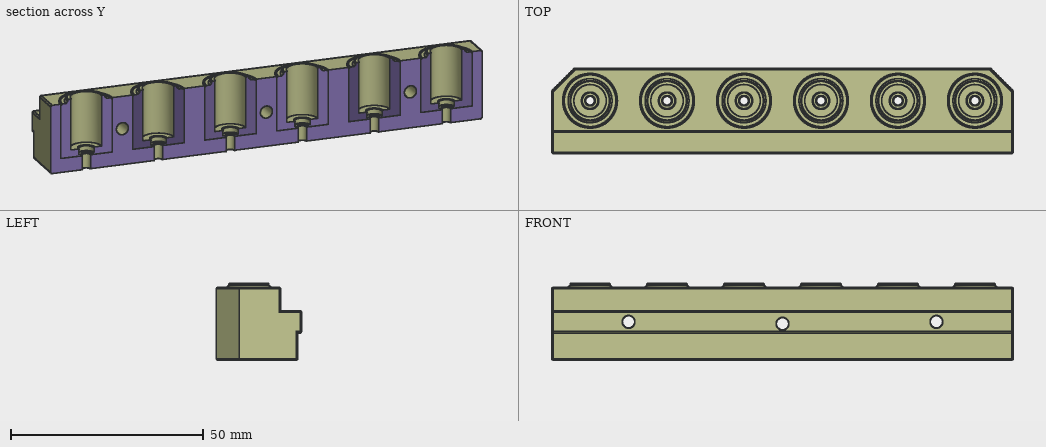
import cadquery as cq

length = 120.0
block_height = 19.0
block_depth = 21.25
lip_overhang = 1.0
shoulder_depth = 16.75
lip_bottom = 7.1
lip_top = 12.9
corner_cut = 6.0
edge_chamfer = 0.4

cross_hole_diameter = 3.2
cross_hole_spacing = 40.0
side_hole_height = 10.0
middle_hole_height = 9.5

cup_count = 6
cup_pitch = 20.0
cup_from_back = 8.5
cup_top = 20.0
cup_length = 16.0

body_diameter = 14.25
shoulder_base_diameter = 13.95
shoulder_bevel = 0.25

rim_diameter = 10.45
rim_flare = 0.5
rim_bevel = 0.2

bore_diameter = 8.45
floor_thickness = 2.0
seat_diameter = 4.1
seat_depth = 1.5
vent_diameter = 2.3
floor_hole_chamfer = 0.2

lip_depth = block_depth + lip_overhang
cup_bottom = cup_top - cup_length
cup_floor = cup_bottom + floor_thickness
first_cup_x = -cup_pitch * (cup_count - 1) / 2
cup_positions = [(first_cup_x + i * cup_pitch, -cup_from_back) for i in range(cup_count)]


def box_around(x_reach, y_range, z_range, margin=0.1):
    """Selector for edges centred in a box that is symmetric in X."""
    return cq.selectors.BoxSelector(
        (-x_reach, y_range[0] - margin, z_range[0] - margin),
        (x_reach, y_range[1] + margin, z_range[1] + margin),
    )


def make_block():
    """Stepped block with its back face on the XZ plane, extending toward -Y."""
    profile = [
        (0, 0),
        (-block_depth, 0),
        (-block_depth, lip_bottom),
        (-lip_depth, lip_bottom),
        (-lip_depth, lip_top),
        (-shoulder_depth, lip_top),
        (-shoulder_depth, block_height),
        (0, block_height),
    ]
    block = cq.Workplane("YZ").polyline(profile).close().extrude(length / 2, both=True)
    block = block.edges("|Z and >Y").chamfer(corner_cut)

    corner_below_lip = box_around(1, (-block_depth, -block_depth), (lip_bottom, lip_bottom))
    corner_above_lip = box_around(1, (-shoulder_depth, -shoulder_depth), (lip_top, lip_top))
    mid_height = block_height / 2
    cut_uprights = box_around(length, (-corner_cut, 0), (mid_height, mid_height))

    all_edges = box_around(length, (-lip_depth, 0), (0, block_height))
    return block.edges(all_edges - corner_below_lip - corner_above_lip - cut_uprights).chamfer(edge_chamfer)


def drill_cross_holes(block):
    hole_places = [
        (-cross_hole_spacing, side_hole_height),
        (0, middle_hole_height),
        (cross_hole_spacing, side_hole_height),
    ]
    holes = (
        cq.Workplane("XZ")
        .pushPoints(hole_places)
        .circle(cross_hole_diameter / 2)
        .extrude(lip_depth)
    )
    return block.cut(holes)


def bore_cup_pockets(block):
    """Round pockets that the cups fill, with a vent hole below each."""
    pockets = (
        cq.Workplane("XY", origin=(0, 0, cup_bottom))
        .pushPoints(cup_positions)
        .circle(body_diameter / 2)
        .extrude(cup_length)
    )
    vents = cq.Workplane("XY").pushPoints(cup_positions).circle(vent_diameter / 2).extrude(block_height)
    return block.cut(pockets).cut(vents)


def make_cup():
    """Cup turned about the Z axis."""
    body_radius = body_diameter / 2
    shoulder_radius = shoulder_base_diameter / 2
    rim_radius = rim_diameter / 2
    bore_radius = bore_diameter / 2
    seat_radius = seat_diameter / 2
    vent_radius = vent_diameter / 2
    seat_floor = cup_floor - seat_depth
    half_section = [
        (vent_radius, cup_bottom),
        (body_radius, cup_bottom),
        (body_radius, block_height - shoulder_bevel),
        (shoulder_radius, block_height - shoulder_bevel),
        (shoulder_radius - shoulder_bevel, block_height),
        (rim_radius + rim_flare, block_height),
        (rim_radius, block_height + rim_flare),
        (rim_radius, cup_top - rim_bevel),
        (rim_radius - rim_bevel, cup_top),
        (bore_radius, cup_top),
        (bore_radius, cup_floor),
        (seat_radius + floor_hole_chamfer, cup_floor),
        (seat_radius, cup_floor - floor_hole_chamfer),
        (seat_radius, seat_floor),
        (vent_radius + floor_hole_chamfer, seat_floor),
        (vent_radius, seat_floor - floor_hole_chamfer),
    ]
    return cq.Workplane("XZ").polyline(half_section).close().revolve(360, (0, 0, 0), (0, 1, 0))


housing = bore_cup_pockets(drill_cross_holes(make_block()))
cup = make_cup()
cups = [cup.translate((x, y, 0)) for x, y in cup_positions]

result = cq.Compound.makeCompound([housing.val(), *[placed_cup.val() for placed_cup in cups]])